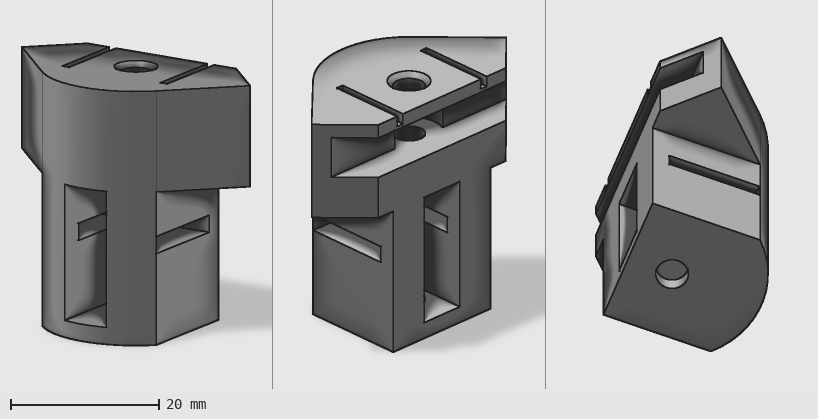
import cadquery as cq
import math

total_height = 35.6
head_height = 14.15
head_bottom = total_height - head_height
front_radius = 12.987
tangent_offset = front_radius / math.sqrt(2)
tip_x = front_radius * math.sqrt(2)
back_y = 6.39
back_half_width = tip_x - back_y
leg_half_width = tangent_offset
tilt_about_z = 0.25

notch_roof_thickness = 2.0
notch_height = 6.0
notch_depth = 4.5
notch_top = total_height - notch_roof_thickness
notch_wall_y = back_y - notch_depth

hole_diameter = 4.4
countersink_diameter = 5.9
chamber_diameter = 9.8
boss_height = 0.4
cone_angle = 45

groove_width = 1.1
groove_length = 11.7
groove_depth = 1.5
groove_spacing = 15.8

window_width = 6.7
window_bottom = 2.4

slot_height = 2.4
slot_bottom = 12.8
slot_back_wall = 2.4
slot_back_y = back_y - slot_back_wall
slot_front_y = -9.1

reach = 2 * tip_x


def box(x_range, y_range, z_range):
    """Axis-aligned block between the given (low, high) limits."""
    size = [high - low for low, high in (x_range, y_range, z_range)]
    corner = (x_range[0], y_range[0], z_range[0])
    return cq.Workplane("XY").box(*size, centered=False).translate(corner)


def make_head():
    return (
        cq.Workplane("XY", origin=(0, 0, head_bottom))
        .moveTo(-back_half_width, back_y)
        .lineTo(-tip_x, 0)
        .lineTo(-tangent_offset, -tangent_offset)
        .threePointArc((0, -front_radius), (tangent_offset, -tangent_offset))
        .lineTo(tip_x, 0)
        .lineTo(back_half_width, back_y)
        .close()
        .extrude(head_height)
    )


def make_leg():
    return (
        cq.Workplane("XY")
        .moveTo(-leg_half_width, back_y)
        .lineTo(-leg_half_width, -tangent_offset)
        .threePointArc((0, -front_radius), (leg_half_width, -tangent_offset))
        .lineTo(leg_half_width, back_y)
        .close()
        .extrude(head_bottom)
    )


def make_notch():
    return box((-reach, reach), (notch_wall_y, reach), (notch_top - notch_height, notch_top))


def make_chamber():
    """Round widening of the notch around the screw axis, as tall as the notch."""
    return (
        cq.Workplane("XY", origin=(0, 0, notch_top))
        .circle(chamber_diameter / 2)
        .extrude(-notch_height)
    )


def make_boss():
    """Cone frustum that hangs from the roof of the notch and the chamber."""
    return (
        cq.Workplane("XY", origin=(0, 0, notch_top))
        .circle(chamber_diameter / 2)
        .extrude(-boss_height, taper=cone_angle)
    )


def make_screw_hole():
    countersink_depth = (countersink_diameter - hole_diameter) / 2
    hole = cq.Workplane("XY").circle(hole_diameter / 2).extrude(total_height)
    countersink = (
        cq.Workplane("XY", origin=(0, 0, total_height))
        .circle(countersink_diameter / 2)
        .extrude(-countersink_depth, taper=cone_angle)
    )
    return hole.union(countersink)


def make_groove(center_x):
    return box(
        (center_x - groove_width / 2, center_x + groove_width / 2),
        (back_y - groove_length, reach),
        (total_height - groove_depth, total_height),
    )


def make_window():
    return box((-window_width / 2, window_width / 2), (-reach, reach), (window_bottom, head_bottom))


def make_side_slot():
    return box((-reach, reach), (slot_front_y, slot_back_y), (slot_bottom, slot_bottom + slot_height))


body = make_head().union(make_leg())
body = body.cut(make_notch()).cut(make_chamber()).union(make_boss())
body = body.cut(make_screw_hole()).cut(make_window()).cut(make_side_slot())
for side in (-1, 1):
    body = body.cut(make_groove(side * groove_spacing / 2))

result = body.rotate((0, 0, 0), (0, 0, 1), tilt_about_z)